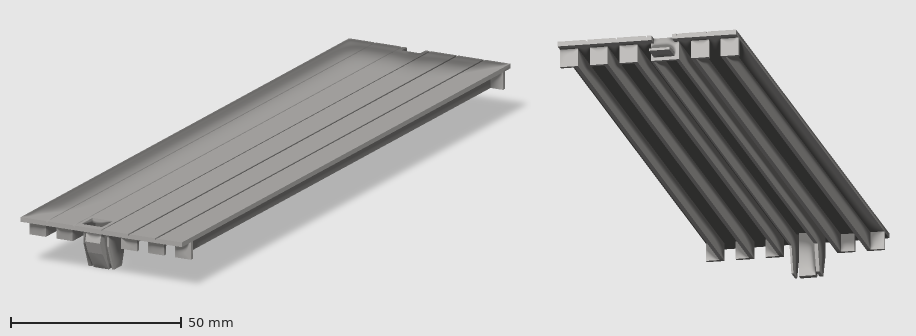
import cadquery as cq

deck_width = 53.7
deck_thickness = 1.5
deck_front = -103.4
deck_rear = 100.0
deck_z = (-deck_thickness, 0)
planks_per_side = 3
plank_pitch = deck_width / (2 * planks_per_side)
groove_width = 0.6
groove_depth = 0.6
center_groove_width = 0.5

part_height = 14.7
leg_width = 5.4
leg_bottom = -6.8
leg_front = -97.8
leg_rear = 96.7
wall = 1.2

channel_left = -plank_pitch
channel_center = channel_left / 2
opening_size = 6.8
opening_front = -100.9
opening_rear = opening_front + opening_size
opening_left = channel_center - opening_size / 2
opening_right = channel_center + opening_size / 2
right_wall = 0.6
channel_right = opening_right + right_wall

cheek_back_top = -87.2
cheek_back_bottom = -89.7
cheek_front_bottom = -94.7

latch_width = 5.0
latch_thickness = 1.2
latch_bottom_front = -95.0
latch_bend = (-98.8, -9.0)
latch_tip = (-100.5, -5.4)
latch_top = (-99.6, -2.9)
latch_top_rear = -97.8
latch_inner_bend = (-96.0, -11.5)

tab_end = 103.4
tab_width = 6.2
tab_top = -4.5
tab_thickness = 1.2
tab_bevel_length = 2.7
tab_bevel_drop = 0.52


def box(x_range, y_range, z_range):
    """Box between the given limits along X, Y and Z."""
    sizes = [high - low for low, high in (x_range, y_range, z_range)]
    corner = (x_range[0], y_range[0], z_range[0])
    return cq.Workplane("XY").box(*sizes, centered=False).translate(corner)


def side_profile(points, center_x, width):
    """Outline of (Y, Z) points, extruded to a width that is centered on center_x."""
    start = cq.Workplane("YZ").workplane(offset=center_x - width / 2)
    return start.polyline(points).close().extrude(width)


def groove_cutter(x, width):
    """Full-length V groove with an upright side at x and a slope that ends at x + width."""
    outline = [(x, 0), (x + width, 0), (x, -groove_depth)]
    start = cq.Workplane("XZ", origin=(0, deck_rear, 0))
    return start.polyline(outline).close().extrude(deck_rear - deck_front)


def deck():
    """Deck with a V groove at each joint between planks."""
    plate = box((-deck_width / 2, deck_width / 2), (deck_front, deck_rear), deck_z)
    plate = plate.cut(groove_cutter(0, center_groove_width))
    for side in (-1, 1):
        for joint in range(1, planks_per_side):
            plate = plate.cut(groove_cutter(side * joint * plank_pitch, side * groove_width))
    return plate


def leg(outer_x, side):
    """Two end plates reaching inward from outer_x, and a web along their inner edges."""
    inner_x = outer_x - side * leg_width
    plate_x = sorted((outer_x, inner_x))
    web_x = sorted((inner_x, inner_x + side * wall))
    height = (leg_bottom, -deck_thickness)
    front_plate = box(plate_x, (leg_front, leg_front + wall), height)
    rear_plate = box(plate_x, (leg_rear - wall, leg_rear), height)
    web = box(web_x, (leg_front, leg_rear), height)
    return front_plate.union(rear_plate).union(web)


def channel():
    """Two walls along the full length, each with a tapered cheek, closed by a rear plate."""
    outline = [
        (leg_rear, -deck_thickness),
        (leg_front, -deck_thickness),
        (leg_front, leg_bottom),
        (cheek_front_bottom, -part_height),
        (cheek_back_bottom, -part_height),
        (cheek_back_top, leg_bottom),
        (leg_rear, leg_bottom),
    ]
    body = box((channel_left, channel_right), (leg_rear - wall, leg_rear), (leg_bottom, -deck_thickness))
    for left, right in ((channel_left, opening_left), (opening_right, channel_right)):
        body = body.union(side_profile(outline, (left + right) / 2, right - left))
    return body


def latch():
    """Strip that drops from the rear edge of the opening and turns up to a hooked front end."""
    leg_rear_face = opening_rear + latch_thickness
    outline = [
        (leg_rear_face, -deck_thickness),
        (leg_rear_face, -part_height),
        (latch_bottom_front, -part_height),
        latch_bend,
        latch_tip,
        latch_top,
        (latch_top_rear, latch_top[1]),
        latch_inner_bend,
        (opening_rear, latch_thickness - part_height),
        (opening_rear, -deck_thickness),
    ]
    return side_profile(outline, channel_center, latch_width)


def tab():
    """Tongue behind the rear plate, bevelled on top towards its end."""
    bottom = tab_top - tab_thickness
    outline = [
        (leg_rear - wall, bottom),
        (tab_end, bottom),
        (tab_end, tab_top - tab_bevel_drop),
        (tab_end - tab_bevel_length, tab_top),
        (leg_rear - wall, tab_top),
    ]
    return side_profile(outline, channel_center, tab_width)


latch_opening = box((opening_left, opening_right), (opening_front, opening_rear), deck_z)
tab_x = (channel_center - tab_width / 2, channel_center + tab_width / 2)
tab_notch = box(tab_x, (leg_rear, deck_rear), deck_z)

result = deck().cut(latch_opening).cut(tab_notch)
for side in (-1, 1):
    for plank in range(1, planks_per_side + 1):
        outer_x = side * plank * plank_pitch
        if outer_x != channel_left:
            result = result.union(leg(outer_x, side))
result = result.union(channel()).union(latch()).union(tab())